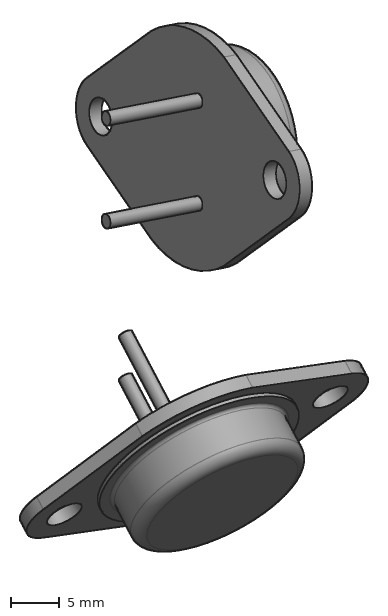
import cadquery as cq
import math

flange_length = 38.9
flange_height = 25.52
flange_thickness = 1.6
end_radius = 4.3
crown_half_width = 6.25
hole_diameter = 3.95

ring_diameter = 22.72
ring_height = 0.43
foot_fillet = 0.35
can_diameter = 19.7
can_edge_radius = 1.25
overall_depth = 19.05

lead_diameter = 1.55
lead_length = 11.67
lead_offset = 1.8
lead_spacing = 10.95

hole_x = flange_length / 2 - end_radius
crown_radius = flange_height / 2
crown_z = math.sqrt(crown_radius**2 - crown_half_width**2)

corner_dx = crown_half_width - hole_x
corner_distance = math.hypot(corner_dx, crown_z)
tangent_angle = math.atan2(crown_z, corner_dx) - math.acos(end_radius / corner_distance)
tangent_x = hole_x + end_radius * math.cos(tangent_angle)
tangent_z = end_radius * math.sin(tangent_angle)

ring_back = flange_thickness + ring_height
can_back = overall_depth - lead_length


def disc(diameter, y_start, y_end, x=0.0, z=0.0):
    """Round bar along Y between two stations."""
    length = y_end - y_start
    solid = cq.Solid.makeCylinder(diameter / 2, length, cq.Vector(x, y_start, z), cq.Vector(0, 1, 0))
    return cq.Workplane(obj=solid)


def make_flange():
    plate = (
        cq.Workplane("XZ")
        .moveTo(-crown_half_width, crown_z)
        .threePointArc((0, crown_radius), (crown_half_width, crown_z))
        .lineTo(tangent_x, tangent_z)
        .threePointArc((flange_length / 2, 0), (tangent_x, -tangent_z))
        .lineTo(crown_half_width, -crown_z)
        .threePointArc((0, -crown_radius), (-crown_half_width, -crown_z))
        .lineTo(-tangent_x, -tangent_z)
        .threePointArc((-flange_length / 2, 0), (-tangent_x, tangent_z))
        .close()
        .extrude(-flange_thickness)
    )
    for x in (-hole_x, hole_x):
        plate = plate.cut(disc(hole_diameter, 0, flange_thickness, x))
    return plate


def make_can():
    ring = disc(ring_diameter, flange_thickness, ring_back)
    cap = disc(can_diameter, ring_back, can_back).faces(">Y").edges().fillet(can_edge_radius)
    foot_circle = ring.union(cap).faces("|Y").faces("<Y[1]").edges(cq.selectors.RadiusNthSelector(0))
    return foot_circle.fillet(foot_fillet)


result = make_flange().union(make_can())
for lead_z in (-lead_spacing / 2, lead_spacing / 2):
    result = result.union(disc(lead_diameter, -lead_length, 0, lead_offset, lead_z))